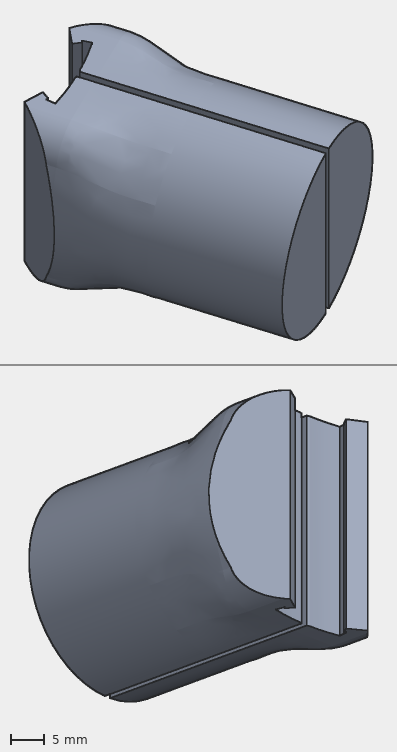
import cadquery as cq

length = 45.55
radius = 17.0
gap = 1.1
half_gap = gap / 2

flare_end = 7.9
blend_end = 19.15
barrel_start = 23.7
blend_steps = 4

flare_top = (9.1, 16.85)
flare_middle = (12.55, 15.45)
flare_low = (14.65, 11.9)
flare_crown = (4.85, 16.95)

round_top_y = 8.0
round_middle_y = 11.4
round_low_y = 14.05

tip_y = 8.45
hook_point = (1.75, 5.5)
hook_base = (3.0, 6.4)
notch_step = (2.8, 6.7)
notch_corner = (4.37, 6.93)
seat_middle = (4.8, 4.1)
seat_end = (4.95, 1.05)
lip_x = 5.1

peg_x = 8.75
peg_z = 13.55
peg_diameter = 3.05

clearance = 2.3


def circle_height(y):
    return (radius**2 - y**2) ** 0.5


def on_circle(y):
    return (y, circle_height(y))


def mix(start, end, share):
    return tuple(a + (b - a) * share for a, b in zip(start, end))


def mirrored(point):
    return (point[0], -point[1])


def section(x, roundness):
    """Half section at x: flared for roundness 0, circular for roundness 1."""
    top = mix(flare_top, on_circle(round_top_y), roundness)
    middle = mix(flare_middle, on_circle(round_middle_y), roundness)
    low = mix(flare_low, on_circle(round_low_y), roundness)
    inner = on_circle(half_gap)
    crown_y = (half_gap + round_top_y) / 2
    crown = mix(flare_crown, on_circle(crown_y), roundness)
    return (
        cq.Workplane("YZ", origin=(x, 0, 0))
        .moveTo(*inner)
        .threePointArc(crown, top)
        .threePointArc(middle, low)
        .threePointArc((radius, 0), mirrored(low))
        .threePointArc(mirrored(middle), mirrored(top))
        .threePointArc(mirrored(crown), mirrored(inner))
        .close()
    )


def transition():
    """Smooth change from the flared section to the round one."""
    wires = []
    for step in range(blend_steps + 1):
        share = step / blend_steps
        x = flare_end + (blend_end - flare_end) * share
        roundness = share**2 * (3 - 2 * share)
        wires.append(section(x, roundness).val())
    wires.append(section(barrel_start, 1).val())
    return cq.Workplane(cq.Solid.makeLoft(wires))


def jaw_plan():
    """Plan of one half: sloped nose, hooked jaw and curved seat."""
    nose_length = radius - tip_y
    return (
        cq.Workplane("XY", origin=(0, 0, -radius - clearance))
        .moveTo(0, tip_y)
        .lineTo(*hook_point)
        .lineTo(*hook_base)
        .lineTo(*notch_step)
        .lineTo(*notch_corner)
        .threePointArc(seat_middle, seat_end)
        .lineTo(lip_x, half_gap)
        .lineTo(length + clearance, half_gap)
        .lineTo(length + clearance, radius + clearance)
        .lineTo(nose_length + clearance, radius + clearance)
        .close()
        .extrude(2 * (radius + clearance))
    )


def shell_half():
    """The half on the +Y side of the slot."""
    flare = section(0, 0).extrude(flare_end)
    barrel = section(barrel_start, 1).extrude(length - barrel_start)
    return flare.union(transition()).union(barrel).intersect(jaw_plan())


def pegs():
    """Pegs that span the slot, from one half to the face of the other."""
    return (
        cq.Workplane("XZ", origin=(0, half_gap, 0))
        .pushPoints([(peg_x, peg_z), (peg_x, -peg_z)])
        .circle(peg_diameter / 2)
        .extrude(gap)
    )


plain_half = shell_half()
pegged_half = plain_half.mirror("XZ").union(pegs())

result = cq.Compound.makeCompound([plain_half.val(), pegged_half.val()])